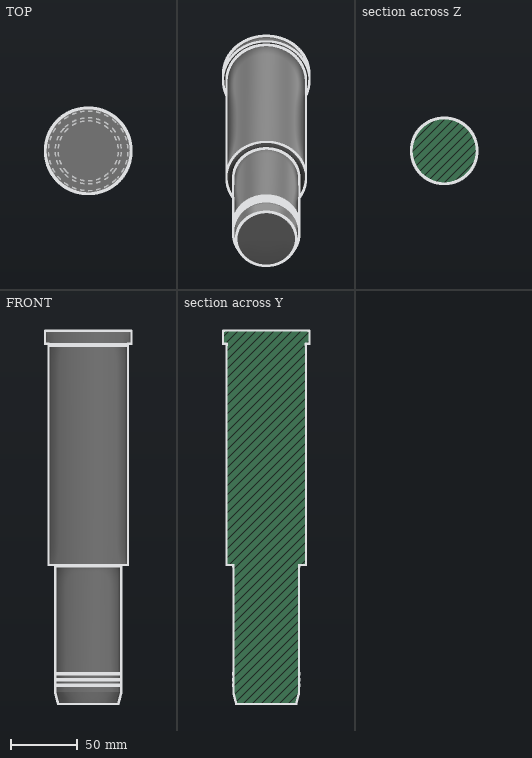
import cadquery as cq

TOTAL_HEIGHT = 280.0

HEAD_RADIUS = 32.5
HEAD_HEIGHT = 10.0
HEAD_CHAMFER = 0.5

SHANK_RADIUS = 30.0
SHANK_BOTTOM = 104.2

UNDERCUT_DEPTH = 0.3
HEAD_UNDERCUT_WIDTH = 1.5
HEAD_UNDERCUT_TAPER = 0.5
SHANK_UNDERCUT_WIDTH = 0.8

PIN_RADIUS = 25.0
TIP_RADIUS = 22.7
TIP_HEIGHT = 9.0
TIP_CHAMFER = 0.3

GROOVE_COUNT = 3
GROOVE_PITCH = 4.2
GROOVE_WIDTH = 1.0
GROOVE_DEPTH = 0.3
LOWEST_GROOVE_CENTER = 14.3


def stepped_body():
    """Revolve the half outline of tip, pin, shank and head, with both undercuts."""
    head_bottom = TOTAL_HEIGHT - HEAD_HEIGHT
    undercut_bottom = head_bottom - HEAD_UNDERCUT_WIDTH
    return (
        cq.Workplane("XZ")
        .lineTo(TIP_RADIUS - TIP_CHAMFER, 0)
        .lineTo(TIP_RADIUS, TIP_CHAMFER)
        .lineTo(PIN_RADIUS, TIP_HEIGHT)
        .lineTo(PIN_RADIUS, SHANK_BOTTOM - SHANK_UNDERCUT_WIDTH)
        .lineTo(PIN_RADIUS - UNDERCUT_DEPTH, SHANK_BOTTOM - SHANK_UNDERCUT_WIDTH)
        .lineTo(PIN_RADIUS - UNDERCUT_DEPTH, SHANK_BOTTOM)
        .lineTo(SHANK_RADIUS, SHANK_BOTTOM)
        .lineTo(SHANK_RADIUS, undercut_bottom)
        .lineTo(SHANK_RADIUS - UNDERCUT_DEPTH, undercut_bottom + HEAD_UNDERCUT_TAPER)
        .lineTo(SHANK_RADIUS - UNDERCUT_DEPTH, head_bottom)
        .lineTo(HEAD_RADIUS, head_bottom)
        .lineTo(HEAD_RADIUS, TOTAL_HEIGHT - HEAD_CHAMFER)
        .lineTo(HEAD_RADIUS - HEAD_CHAMFER, TOTAL_HEIGHT)
        .lineTo(0, TOTAL_HEIGHT)
        .close()
        .revolve(360, (0, 0, 0), (0, 1, 0))
    )


def groove_ring(bottom):
    """Ring that cuts one square groove into the pin, upward from the given height."""
    return (
        cq.Workplane("XY", origin=(0, 0, bottom))
        .circle(PIN_RADIUS)
        .circle(PIN_RADIUS - GROOVE_DEPTH)
        .extrude(GROOVE_WIDTH)
    )


result = stepped_body()

for index in range(GROOVE_COUNT):
    groove_bottom = LOWEST_GROOVE_CENTER + index * GROOVE_PITCH - GROOVE_WIDTH / 2
    result = result.cut(groove_ring(groove_bottom))